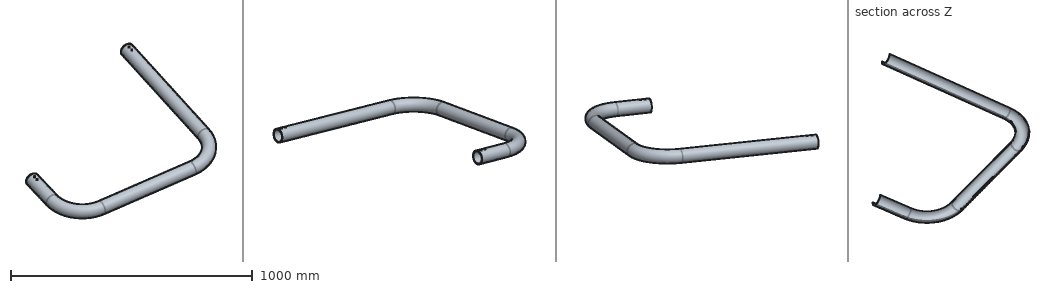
import cadquery as cq
import math

outer_diameter = 60.0
wall = 4.0
bend_radius = 150.0
leg_splay = 0.5

overall_x = 780.0
overall_y = 810.0
short_leg = 151.5

hole_diameter = 6.0
hole_offsets = (19.5, 40.0)

outer_radius = outer_diameter / 2
splay_sin = math.sin(math.radians(leg_splay))
splay_cos = math.cos(math.radians(leg_splay))

crossbar_x = overall_x / 2 - outer_radius
bend_reach_x = bend_radius * (1 - splay_sin)
bend_reach_y = bend_radius * splay_cos
leg_start_x = crossbar_x - bend_reach_x

rim_overhang_x = outer_radius * splay_sin
rim_reach_y = outer_radius * splay_cos
long_leg = (leg_start_x + overall_x / 2 - rim_overhang_x) / splay_cos
crossbar_length = (overall_y - 2 * rim_reach_y - 2 * bend_reach_y
                   - (long_leg + short_leg) * splay_sin)

long_end_y = overall_y / 2 - rim_reach_y
long_start_y = long_end_y - long_leg * splay_sin
crossbar_top_y = long_start_y - bend_reach_y
crossbar_bottom_y = crossbar_top_y - crossbar_length
short_start_y = crossbar_bottom_y - bend_reach_y

long_end = (leg_start_x - long_leg * splay_cos, long_end_y)
short_end = (leg_start_x - short_leg * splay_cos, short_start_y - short_leg * splay_sin)


def bend_middle(center_y, side):
    """Midpoint of a bend; side is +1 for the +Y bend and -1 for the -Y bend."""
    angle = math.radians((90 - leg_splay) / 2)
    center_x = crossbar_x - bend_radius
    return (center_x + bend_radius * math.cos(angle),
            center_y + side * bend_radius * math.sin(angle))


def swept_rod(radius):
    """Solid round bar of the given radius along the whole centreline."""
    path = (
        cq.Workplane("XY")
        .moveTo(*long_end)
        .lineTo(leg_start_x, long_start_y)
        .threePointArc(bend_middle(crossbar_top_y, 1), (crossbar_x, crossbar_top_y))
        .lineTo(crossbar_x, crossbar_bottom_y)
        .threePointArc(bend_middle(crossbar_bottom_y, -1), (leg_start_x, short_start_y))
        .lineTo(*short_end)
    )
    end_plane = cq.Plane(
        origin=(*long_end, 0),
        xDir=(0, 0, 1),
        normal=(splay_cos, -splay_sin, 0),
    )
    return cq.Workplane(end_plane).circle(radius).sweep(path)


def end_holes(end, side):
    """Vertical drills through the upper wall only, spaced along the leg from its open end."""
    centers = [
        (end[0] + offset * splay_cos, end[1] - side * offset * splay_sin)
        for offset in hole_offsets
    ]
    return (
        cq.Workplane("XY")
        .pushPoints(centers)
        .circle(hole_diameter / 2)
        .extrude(outer_diameter)
    )


tube = swept_rod(outer_radius).cut(swept_rod(outer_radius - wall))
result = tube.cut(end_holes(long_end, 1)).cut(end_holes(short_end, -1))